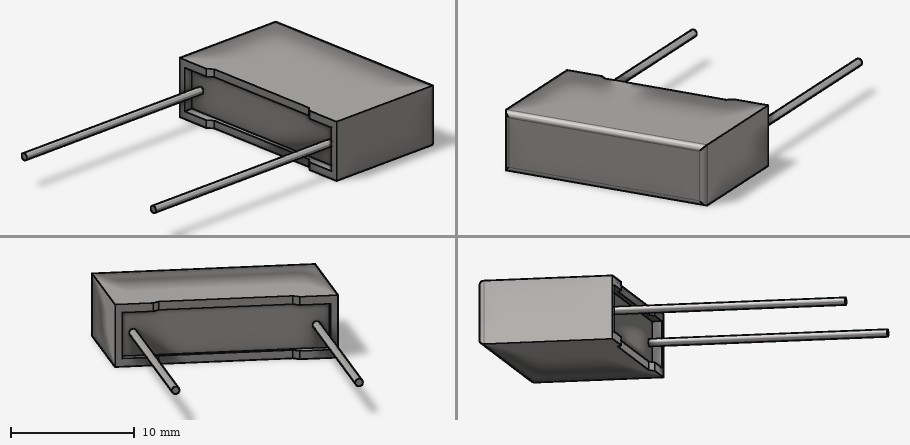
import cadquery as cq

total_length = 30.1
case_width = 18.3
case_length = 11.15
case_height = 5.2

side_wall = 0.6
flat_wall = 0.7
back_wall = side_wall
back_fillet = 0.48
notch_base_width = 12.05
notch_top_width = 11.02
notch_depth = 0.4

fill_recess = 0.8
lead_pitch = 15.05
lead_diameter = 0.63

back_y = total_length / 2
rim_y = back_y - case_length
fill_y = rim_y + fill_recess
lead_tip_y = -total_length / 2

cavity_width = case_width - 2 * side_wall
cavity_height = case_height - 2 * flat_wall
cavity_end_y = back_y - back_wall


def block(width, height, start_y, end_y):
    """Block centred on X and Z, running from start_y to end_y."""
    length = end_y - start_y
    return cq.Workplane("XY").box(width, length, height).translate((0, start_y + length / 2, 0))


def make_rim_notch():
    """Trapezoidal cutter that relieves the upper and lower rims."""
    outline = [
        (-notch_base_width / 2, rim_y),
        (notch_base_width / 2, rim_y),
        (notch_top_width / 2, rim_y + notch_depth),
        (-notch_top_width / 2, rim_y + notch_depth),
    ]
    return cq.Workplane("XY").polyline(outline).close().extrude(case_height / 2, both=True)


def make_case():
    """Box-shaped shell with rounded back edges and notched rims."""
    shell = block(case_width, case_height, rim_y, back_y)
    shell = shell.faces(">Y").edges().fillet(back_fillet)
    cavity = block(cavity_width, cavity_height, rim_y, cavity_end_y)
    return shell.cut(cavity).cut(make_rim_notch())


def make_fill():
    """Resin block that fills the case behind the recessed front."""
    return block(cavity_width, cavity_height, fill_y, cavity_end_y)


def make_lead(x):
    """Straight round wire standing on the resin face."""
    return (
        cq.Workplane("XZ", origin=(x, fill_y, 0))
        .circle(lead_diameter / 2)
        .extrude(fill_y - lead_tip_y)
    )


case = make_case()
fill = make_fill()
leads = [make_lead(side * lead_pitch / 2) for side in (-1, 1)]

result = cq.Compound.makeCompound([case.val(), fill.val(), *[lead.val() for lead in leads]])